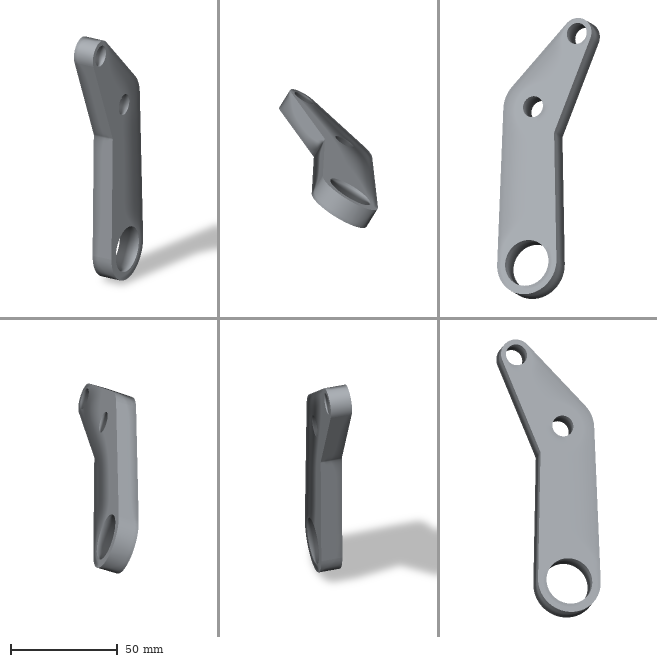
import cadquery as cq
import math

thickness = 10.2

pivot_center = (0, 0)
pivot_radius = 15.0
pivot_bore = 22.0

elbow_center = (-3.1, 75.0)
elbow_radius = pivot_radius
tip_center = (-25.4, 108.2)
tip_radius = 7.5
pin_bore = 10.0

inner_corner = (-13.9, 61.5)
inner_fillet = 2.0


def point_on_circle(center, radius, angle):
    return (center[0] + radius * math.cos(angle), center[1] + radius * math.sin(angle))


def tangent_angle(start, start_radius, end, end_radius):
    """Direction of the outward normal of the edge touching both circles on their right-hand side."""
    dy = end[0] - start[0]
    dz = end[1] - start[1]
    return math.atan2(dz, dy) - math.acos((start_radius - end_radius) / math.hypot(dy, dz))


back_normal = tangent_angle(pivot_center, pivot_radius, elbow_center, elbow_radius)
arm_normal = tangent_angle(elbow_center, elbow_radius, tip_center, tip_radius)
tip_normal = tangent_angle(tip_center, tip_radius, inner_corner, 0)
front_normal = tangent_angle(inner_corner, 0, pivot_center, pivot_radius)


def add_round_end(outline, center, radius, start_angle, end_angle):
    """Draw a line to the round end, then follow its arc counterclockwise."""
    sweep = (end_angle - start_angle) % (2 * math.pi)
    return outline.lineTo(*point_on_circle(center, radius, start_angle)).threePointArc(
        point_on_circle(center, radius, start_angle + sweep / 2),
        point_on_circle(center, radius, end_angle),
    )


outline = cq.Workplane("YZ").moveTo(*point_on_circle(pivot_center, pivot_radius, back_normal))
outline = add_round_end(outline, elbow_center, elbow_radius, back_normal, arm_normal)
outline = add_round_end(outline, tip_center, tip_radius, arm_normal, tip_normal)
outline = outline.lineTo(*inner_corner)
outline = add_round_end(outline, pivot_center, pivot_radius, front_normal, back_normal)
lever = outline.close().extrude(thickness)

inner_edge_middle = (thickness / 2, *inner_corner)
lever = lever.edges(cq.NearestToPointSelector(inner_edge_middle)).fillet(inner_fillet)


def bore(center, diameter):
    return cq.Workplane("YZ").center(*center).circle(diameter / 2).extrude(thickness)


result = (
    lever
    .cut(bore(pivot_center, pivot_bore))
    .cut(bore(elbow_center, pin_bore))
    .cut(bore(tip_center, pin_bore))
)